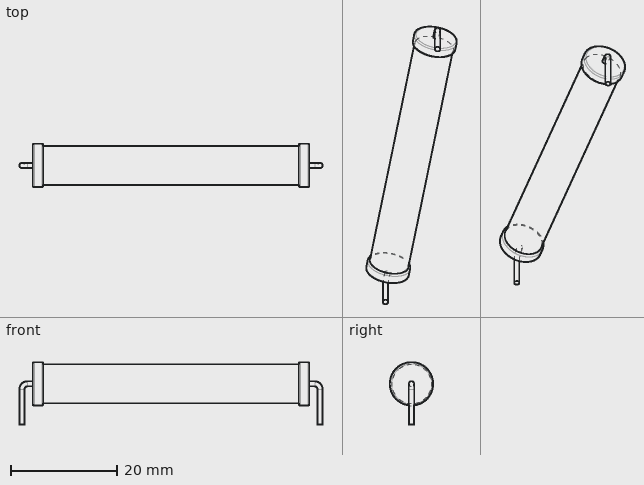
import cadquery as cq


body_diameter = 7.4
body_length = 48.1

cap_diameter = 8.2
cap_thickness = 2.0
cap_fillet = 0.3
cap_outer_face = body_length / 2 + cap_thickness

lead_diameter = 1.0
lead_span = 57.1
lead_drop = 7.7
lead_bend_radius = 1.0
lead_leg_position = (lead_span - lead_diameter) / 2

SIDES = (-1, 1)


def make_body():
    """Plain cylinder centred on the origin."""
    return (
        cq.Workplane("YZ", origin=(-body_length / 2, 0, 0))
        .circle(body_diameter / 2)
        .extrude(body_length)
    )


def make_cap(side):
    """Disc against one end of the body, rounded on both rims."""
    return (
        cq.Workplane("YZ", origin=(side * body_length / 2, 0, 0))
        .circle(cap_diameter / 2)
        .extrude(side * cap_thickness)
        .edges("%CIRCLE")
        .fillet(cap_fillet)
    )


def make_lead(side):
    """Round wire that leaves the cap along the axis and bends down into a straight leg."""
    path = (
        cq.Workplane("XZ")
        .moveTo(side * cap_outer_face, 0)
        .lineTo(side * (lead_leg_position - lead_bend_radius), 0)
        .tangentArcPoint((side * lead_leg_position, -lead_bend_radius), relative=False)
        .lineTo(side * lead_leg_position, -lead_drop)
    )
    return (
        cq.Workplane("YZ", origin=(side * cap_outer_face, 0, 0))
        .circle(lead_diameter / 2)
        .sweep(path)
    )


body = make_body()
caps = [make_cap(side) for side in SIDES]
leads = [make_lead(side) for side in SIDES]

result = cq.Compound.makeCompound(
    [
        body.val(),
        *[cap.val() for cap in caps],
        *[lead.val() for lead in leads],
    ]
)